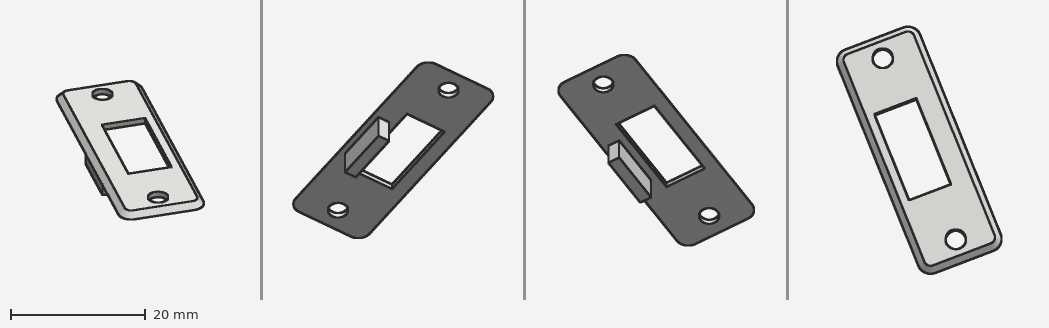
import cadquery as cq

plate_length = 36.75
plate_width = 13.2
plate_thickness = 1.0
corner_radius = 2.0
bevel_angle = 45.0

window_length = 14.15
window_width = 6.7
window_center_x = 0.3
window_center_y = 0.92

hole_diameter = 3.0
hole_spacing = 29.75

total_height = 5.0
tab_length = 9.0
tab_thickness = 1.9
tab_front_inset = 1.0
tab_height = total_height - plate_thickness
tab_center_y = -plate_width / 2 + tab_front_inset + tab_thickness / 2


def make_plate():
    """Rounded plate, full size at the underside and tapering inward to the top."""
    outline = cq.Sketch().rect(plate_length, plate_width).vertices().fillet(corner_radius)
    return cq.Workplane("XY").placeSketch(outline).extrude(plate_thickness, taper=bevel_angle)


def make_window():
    return (
        cq.Workplane("XY")
        .center(window_center_x, window_center_y)
        .rect(window_length, window_width)
        .extrude(plate_thickness)
    )


def make_screw_holes():
    return (
        cq.Workplane("XY")
        .pushPoints([(-hole_spacing / 2, 0), (hole_spacing / 2, 0)])
        .circle(hole_diameter / 2)
        .extrude(plate_thickness)
    )


def make_tab():
    return (
        cq.Workplane("XY")
        .center(0, tab_center_y)
        .rect(tab_length, tab_thickness)
        .extrude(-tab_height)
    )


result = make_plate().cut(make_window()).cut(make_screw_holes()).union(make_tab())